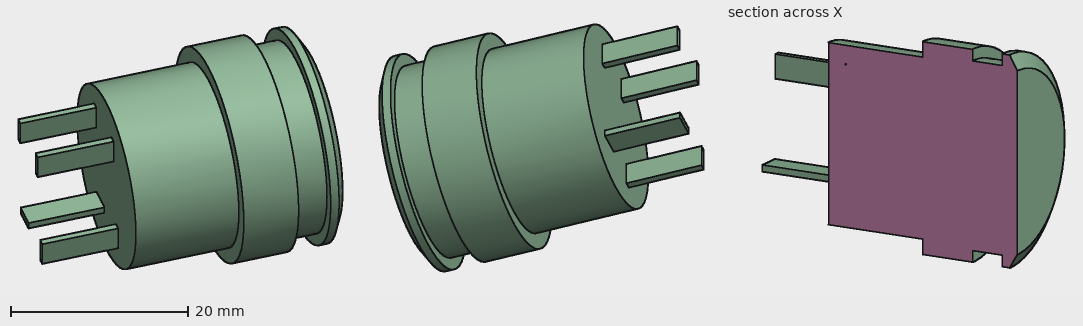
import cadquery as cq
import math

flange_diameter = 25.0
rim_thickness = 1.0
bevel_depth = 1.0
bevel_angle = 30.0
neck_diameter = 22.3
neck_length = 3.8
collar_diameter = flange_diameter
collar_length = 6.5
body_diameter = 21.4
body_length = 12.2

terminal_length = 9.0
terminal_width = 2.9
terminal_thickness = 0.8

upright_terminals = [(-4.1, 5.7), (2.2, 5.7), (3.85, -5.7)]
flat_terminals = [(-2.2, -5.5)]

bevel_width = bevel_depth / math.tan(math.radians(bevel_angle))
front_y = rim_thickness + bevel_depth
collar_front_y = -neck_length
collar_rear_y = collar_front_y - collar_length
rear_y = collar_rear_y - body_length


def make_housing():
    """Stepped round housing with a bevelled front flange."""
    flange_radius = flange_diameter / 2
    neck_radius = neck_diameter / 2
    collar_radius = collar_diameter / 2
    body_radius = body_diameter / 2
    profile = [
        (0, front_y),
        (flange_radius - bevel_width, front_y),
        (flange_radius, rim_thickness),
        (flange_radius, 0),
        (neck_radius, 0),
        (neck_radius, collar_front_y),
        (collar_radius, collar_front_y),
        (collar_radius, collar_rear_y),
        (body_radius, collar_rear_y),
        (body_radius, rear_y),
        (0, rear_y),
    ]
    return cq.Workplane("XY").polyline(profile).close().revolve(360, (0, 0), (0, 1))


def make_terminals(centres, size_x, size_z):
    """Flat blades running rearwards (-Y) from the rear face."""
    rear_plane = cq.Workplane("XZ", origin=(0, rear_y, 0))
    return rear_plane.pushPoints(centres).rect(size_x, size_z).extrude(terminal_length)


result = (
    make_housing()
    .union(make_terminals(upright_terminals, terminal_thickness, terminal_width))
    .union(make_terminals(flat_terminals, terminal_width, terminal_thickness))
)